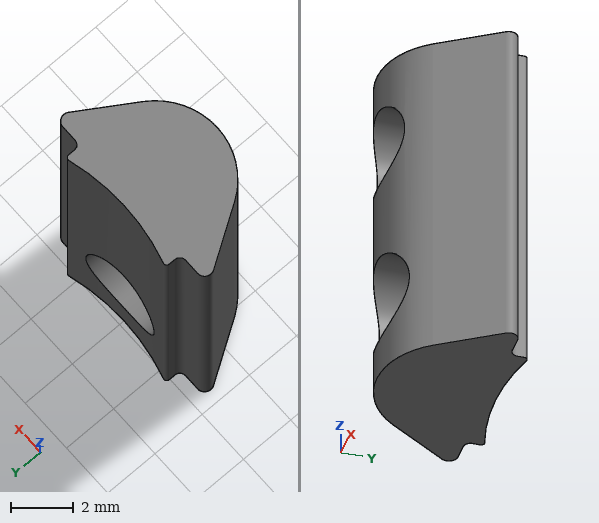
import cadquery as cq
import math

length = 12.0
width = 7.12
depth = 4.3

nose_radius = 2.64
flank_angle = math.radians(57)
corner_radius = 0.3
step_height = 0.6
step_half_width = 2.44
step_fillet = 0.24
tip_radius = 0.12
back_dip = 0.34

through_diameter = 3.3
through_z = length / 4
blind_diameter = 3.0
blind_z = 3 * length / 4
blind_depth = 2.76
drill_tip_angle = math.radians(118)

shoulder_y = depth - step_height


def point_on_arc(center, radius, angle):
    return (center[0] + radius * math.cos(angle), center[1] + radius * math.sin(angle))


def mirrored(point):
    return (-point[0], point[1])


def make_bar():
    """Extrude the symmetric section; its flanks are tangent to the nose."""
    flank_normal = flank_angle - math.pi / 2
    nose_end = point_on_arc((0, nose_radius), nose_radius, flank_normal)
    corner_center = (width / 2 - corner_radius, shoulder_y - corner_radius)
    corner_start = point_on_arc(corner_center, corner_radius, flank_normal)
    corner_middle = (width / 2, corner_center[1])
    corner_end = (corner_center[0], shoulder_y)
    fillet_center = (step_half_width + step_fillet, shoulder_y + step_fillet)
    fillet_start = (fillet_center[0], shoulder_y)
    fillet_middle = point_on_arc(fillet_center, step_fillet, math.radians(225))
    fillet_end = (step_half_width, fillet_center[1])
    tip_center = (step_half_width - tip_radius, depth - tip_radius)
    tip_start = (step_half_width, tip_center[1])
    back_radius = (tip_center[0] ** 2 + back_dip ** 2) / (2 * back_dip) - tip_radius
    tip_end_angle = math.pi - math.acos(tip_center[0] / (back_radius + tip_radius))
    tip_middle = point_on_arc(tip_center, tip_radius, tip_end_angle / 2)
    tip_end = point_on_arc(tip_center, tip_radius, tip_end_angle)
    section = (
        cq.Workplane("XY")
        .moveTo(*mirrored(nose_end))
        .threePointArc((0, 0), nose_end)
        .lineTo(*corner_start)
        .threePointArc(corner_middle, corner_end)
        .lineTo(*fillet_start)
        .threePointArc(fillet_middle, fillet_end)
        .lineTo(*tip_start)
        .threePointArc(tip_middle, tip_end)
        .threePointArc((0, depth - back_dip), mirrored(tip_end))
        .threePointArc(mirrored(tip_middle), mirrored(tip_start))
        .lineTo(*mirrored(fillet_end))
        .threePointArc(mirrored(fillet_middle), mirrored(fillet_start))
        .lineTo(*mirrored(corner_end))
        .threePointArc(mirrored(corner_middle), mirrored(corner_start))
        .close()
    )
    return section.extrude(length)


def make_through_hole():
    return cq.Workplane("XZ").center(0, through_z).circle(through_diameter / 2).extrude(-depth)


def make_blind_hole():
    """Drilled pocket with a conical bottom, revolved about its own axis."""
    radius = blind_diameter / 2
    tip_depth = blind_depth + radius / math.tan(drill_tip_angle / 2)
    half_section = (
        cq.Workplane("XY")
        .workplane(offset=blind_z)
        .polyline([(0, 0), (radius, 0), (radius, blind_depth), (0, tip_depth)])
        .close()
    )
    return half_section.revolve(360, (0, 0), (0, 1))


result = make_bar().cut(make_through_hole()).cut(make_blind_hole())